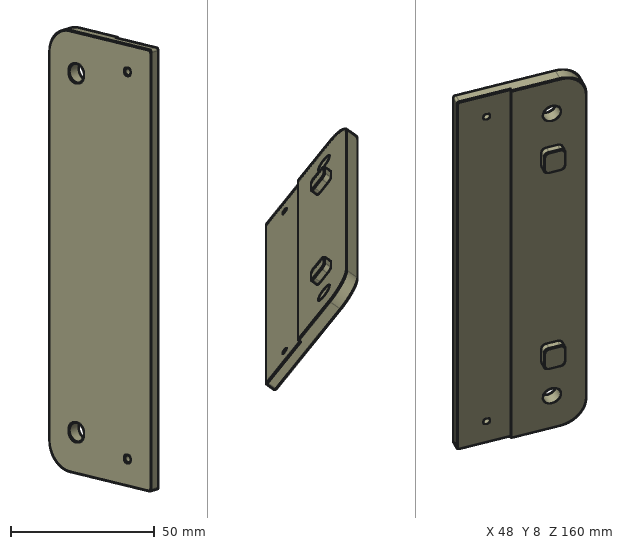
import cadquery as cq

width = 48.0
height = 160.0
total_depth = 8.0
plate_thickness = 5.1
left_corner_radius = 10.0
right_corner_radius = 1.0
edge_chamfer = 0.3

step_x = 28.0
step_depth = 1.0

large_hole_x = 13.0
large_hole_diameter = 6.7
large_hole_z = height / 2 - 15.0
small_hole_x = 37.0
small_hole_diameter = 2.5
small_hole_z = height / 2 - 10.0

lug_width = 8.0
lug_height = 9.6
lug_corner_radius = 2.0
lug_z = 45.1


def make_plate():
    plate = cq.Workplane("XY").box(width, plate_thickness, height, centered=(False, False, True))
    plate = plate.edges("|Y and <X").fillet(left_corner_radius)
    plate = plate.edges("|Y and >X").fillet(right_corner_radius)
    step = (
        cq.Workplane("XY")
        .box(width - step_x, step_depth, height, centered=(False, False, True))
        .translate((step_x, plate_thickness - step_depth, 0))
    )
    plate = plate.faces("<Y").chamfer(edge_chamfer)
    plate = plate.faces(">Y").chamfer(edge_chamfer).cut(step)
    floor_rim = plate.faces(">Y[-2]").edges(cq.selectors.BoxSelector(
        (step_x + edge_chamfer, 0, -height),
        (width + edge_chamfer, plate_thickness, height),
    ))
    return floor_rim.chamfer(edge_chamfer)


def make_hole(x, z, diameter):
    """Through-hole cutter with a countersunk front rim."""
    radius = diameter / 2
    profile = (
        cq.Workplane("XY")
        .lineTo(radius + edge_chamfer, 0)
        .lineTo(radius, edge_chamfer)
        .lineTo(radius, plate_thickness)
        .lineTo(0, plate_thickness)
        .close()
    )
    return profile.revolve(360, (0, 0), (0, 1)).translate((x, 0, z))


def make_lug(z):
    lug_depth = total_depth - plate_thickness
    lug = cq.Workplane("XY").box(lug_width, lug_depth, lug_height, centered=(True, False, True))
    lug = lug.edges("|Y").fillet(lug_corner_radius).faces(">Y").chamfer(edge_chamfer)
    return lug.translate((large_hole_x, plate_thickness, z))


result = make_plate()
for side in (-1, 1):
    result = result.cut(make_hole(large_hole_x, side * large_hole_z, large_hole_diameter))
    result = result.cut(make_hole(small_hole_x, side * small_hole_z, small_hole_diameter))
    result = result.union(make_lug(side * lug_z))